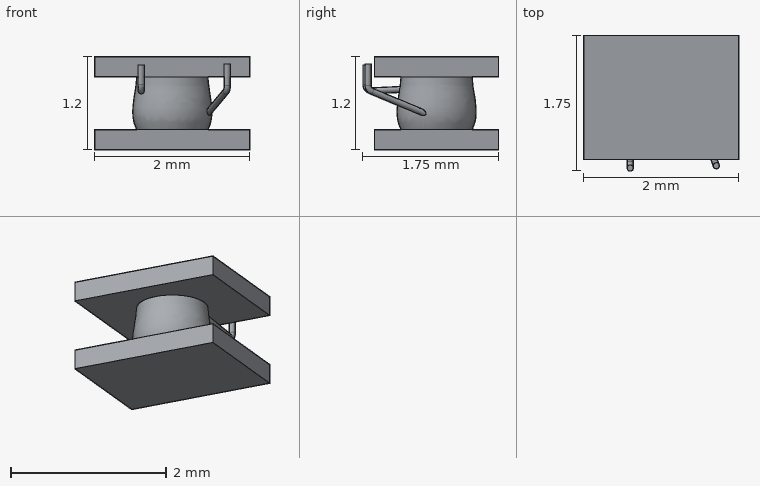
import cadquery as cq
import math

flange_length = 2
flange_width = 1.6
flange_thickness = 0.26
stack_height = 1.2
winding_end_radius = 0.46
winding_belly_radius = 0.51
winding_belly_height = 0.46
winding_shoulder_radius = 0.48
winding_shoulder_height = 0.76

wire_radius = 0.04
bend_radius = 0.08

left_lead_x = -0.4
left_tip = cq.Vector(left_lead_x, -0.91, 1.095)
left_corner = cq.Vector(left_lead_x, -0.91, 0.755)
left_root = cq.Vector(left_lead_x, 0, 0.8)

right_lead_x = 0.708
right_lead_y = -0.88
right_tip = cq.Vector(right_lead_x, right_lead_y, 1.108)
right_corner = cq.Vector(right_lead_x, right_lead_y, 0.772)
right_root = cq.Vector(0.435, -0.1, 0.448)


def make_flange(bottom):
    return (
        cq.Workplane("XY", origin=(0, 0, bottom))
        .box(flange_length, flange_width, flange_thickness, centered=(True, True, False))
    )


def make_barrel():
    """Revolve a smooth bulging side whose widest point lies below mid-height."""
    bottom = flange_thickness
    top = stack_height - flange_thickness
    side_points = [
        (winding_belly_radius, winding_belly_height),
        (winding_shoulder_radius, winding_shoulder_height),
        (winding_end_radius, top),
    ]
    return (
        cq.Workplane("XZ")
        .moveTo(0, bottom)
        .lineTo(winding_end_radius, bottom)
        .spline(side_points, includeCurrent=True)
        .lineTo(0, top)
        .close()
        .revolve(360, (0, 0, 0), (0, 1, 0))
    )


def make_lead(tip, corner, root):
    """Sweep a round wire from its upright tip, around the bend, to its buried root."""
    to_tip = (tip - corner).normalized()
    to_root = (root - corner).normalized()
    half_angle = to_tip.getAngle(to_root) / 2
    tangent_length = bend_radius / math.tan(half_angle)
    bend_start = corner + to_tip * tangent_length
    bend_end = corner + to_root * tangent_length
    bisector = (to_tip + to_root).normalized()
    apex_distance = bend_radius / math.sin(half_angle) - bend_radius
    bend_middle = corner + bisector * apex_distance
    path = cq.Wire.assembleEdges([
        cq.Edge.makeLine(tip, bend_start),
        cq.Edge.makeThreePointArc(bend_start, bend_middle, bend_end),
        cq.Edge.makeLine(bend_end, root),
    ])
    return cq.Workplane("XY", origin=tip.toTuple()).circle(wire_radius).sweep(cq.Workplane(path))


def make_winding():
    """Barrel-shaped winding with its two wire ends growing out of its side."""
    left_lead = make_lead(left_tip, left_corner, left_root)
    right_lead = make_lead(right_tip, right_corner, right_root)
    return make_barrel().union(left_lead).union(right_lead)


winding = make_winding()
flange_bottoms = [0, stack_height - flange_thickness]
flanges = [make_flange(bottom) for bottom in flange_bottoms]

result = cq.Compound.makeCompound([winding.solids().val(), *[flange.val() for flange in flanges]])